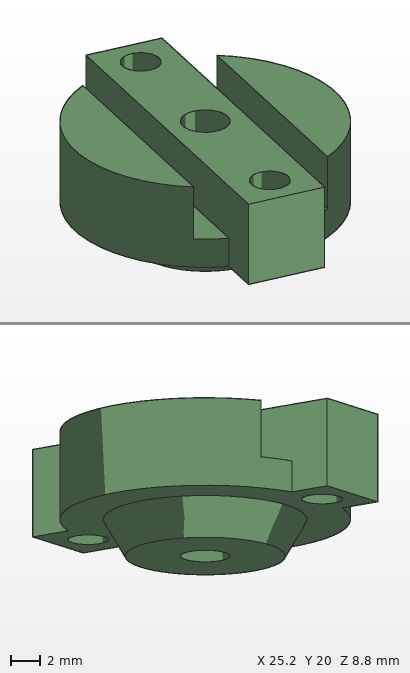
import cadquery as cq

bar_length = 25.2
bar_width = 5.85
bar_hole_diameter = 2.8

body_diameter = 20.0
body_height = 6.2
bar_hole_spacing = body_diameter

channel_width = 10.28
floor_thickness = 2.2

boss_height = 2.6
boss_top_diameter = 14.0
boss_tip_diameter = 11.0

center_hole_diameter = 3.4
overall_height = body_height + boss_height


def make_boss():
    """Cone frustum narrowing downward from the body's underside at Z = 0."""
    return (
        cq.Workplane("XY")
        .circle(boss_top_diameter / 2)
        .workplane(offset=-boss_height)
        .circle(boss_tip_diameter / 2)
        .loft(ruled=True)
    )


def make_channeled_body():
    """Disc with a full-length channel open at the top."""
    disc = cq.Workplane("XY").circle(body_diameter / 2).extrude(body_height)
    channel = (
        cq.Workplane("XY")
        .workplane(offset=floor_thickness)
        .rect(bar_length, channel_width)
        .extrude(body_height - floor_thickness)
    )
    return disc.cut(channel)


def make_bar():
    """Full-height bar along X through the middle of the channel."""
    return cq.Workplane("XY").rect(bar_length, bar_width).extrude(body_height)


def make_holes():
    """Vertical through holes: one in the center and one near each bar end."""
    base = cq.Workplane("XY").workplane(offset=-boss_height)
    center = base.circle(center_hole_diameter / 2).extrude(overall_height)
    ends = (
        base.pushPoints([(-bar_hole_spacing / 2, 0), (bar_hole_spacing / 2, 0)])
        .circle(bar_hole_diameter / 2)
        .extrude(overall_height)
    )
    return center.union(ends)


result = make_channeled_body().union(make_bar()).union(make_boss()).cut(make_holes())